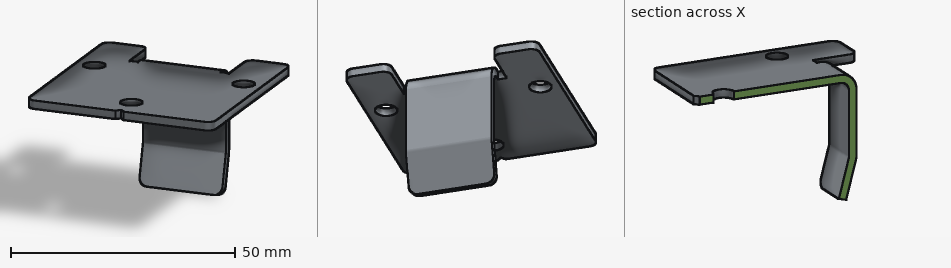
import cadquery as cq
import math

thickness = 2.0
bend_inner_radius = 2.0
bend_outer_radius = bend_inner_radius + thickness

plate_width = 45.0
plate_length = 46.0
corner_radius = 2.0
front_y = -plate_length / 2
back_y = plate_length / 2

opening_width = 24.0
opening_depth = 11.0

v_notch_width = 2.0
v_notch_depth = 1.0

hole_diameter = 5.0
side_hole_spacing = 36.0
side_hole_from_front = 29.0
front_hole_from_front = 7.0

tab_width = 20.0
tab_setback = 6.0
tab_bend_corner_depth = 20.0
tip_length = 10.0
tip_angle = 15.0
tip_corner_radius = 2.0


def make_plate():
    """Flat plate with rounded corners, back opening, V notch and holes."""
    plate = (
        cq.Workplane("XY")
        .box(plate_width, plate_length, thickness, centered=(True, True, False))
        .translate((0, 0, -thickness))
    )
    opening = (
        cq.Workplane("XY")
        .center(0, back_y - opening_depth / 2)
        .rect(opening_width, opening_depth)
        .extrude(-thickness)
    )
    plate = plate.cut(opening)

    outer_corners = plate.edges("|Z and (<X or >X)")
    ear_corners = plate.edges("|Z and >Y")
    plate = outer_corners.add(ear_corners).fillet(corner_radius)

    v_notch = (
        cq.Workplane("XY")
        .moveTo(-v_notch_width / 2, front_y)
        .lineTo(0, front_y + v_notch_depth)
        .lineTo(v_notch_width / 2, front_y)
        .close()
        .extrude(-thickness)
    )
    hole_centres = [
        (-side_hole_spacing / 2, front_y + side_hole_from_front),
        (side_hole_spacing / 2, front_y + side_hole_from_front),
        (0, front_y + front_hole_from_front),
    ]
    holes = (
        cq.Workplane("XY")
        .pushPoints(hole_centres)
        .circle(hole_diameter / 2)
        .extrude(-thickness)
    )
    return plate.cut(v_notch).cut(holes)


def make_tab():
    """Constant-thickness tab following its two bends in the YZ plane."""
    angle = math.radians(tip_angle)
    bend_setback = bend_outer_radius * math.tan(angle / 2)

    tab_outer_y = back_y - tab_setback
    bend_y = tab_outer_y - bend_outer_radius
    upper_bend_z = -bend_outer_radius
    lower_bend_z = -(tab_bend_corner_depth - bend_setback)
    root_y = back_y - opening_depth
    tip_straight = tip_length - bend_setback

    def upper_point(radius, degrees):
        turn = math.radians(degrees)
        return (bend_y + radius * math.cos(turn), upper_bend_z + radius * math.sin(turn))

    def lower_point(radius, turn, beyond=0.0):
        y = bend_y + radius * math.cos(turn) - beyond * math.sin(turn)
        z = lower_bend_z - radius * math.sin(turn) - beyond * math.cos(turn)
        return (y, z)

    tab = (
        cq.Workplane("YZ")
        .moveTo(root_y, 0)
        .lineTo(*upper_point(bend_outer_radius, 90))
        .threePointArc(upper_point(bend_outer_radius, 45), upper_point(bend_outer_radius, 0))
        .lineTo(*lower_point(bend_outer_radius, 0))
        .threePointArc(lower_point(bend_outer_radius, angle / 2), lower_point(bend_outer_radius, angle))
        .lineTo(*lower_point(bend_outer_radius, angle, tip_straight))
        .lineTo(*lower_point(bend_inner_radius, angle, tip_straight))
        .lineTo(*lower_point(bend_inner_radius, angle))
        .threePointArc(lower_point(bend_inner_radius, angle / 2), lower_point(bend_inner_radius, 0))
        .lineTo(*upper_point(bend_inner_radius, 0))
        .threePointArc(upper_point(bend_inner_radius, 45), upper_point(bend_inner_radius, 90))
        .lineTo(root_y, -thickness)
        .close()
        .extrude(tab_width / 2, both=True)
    )

    tip_end = tab.faces(cq.selectors.DirectionMinMaxSelector(
        cq.Vector(0, -math.sin(angle), -math.cos(angle)), True))
    return tip_end.edges("<X or >X").fillet(tip_corner_radius)


result = make_plate().union(make_tab())